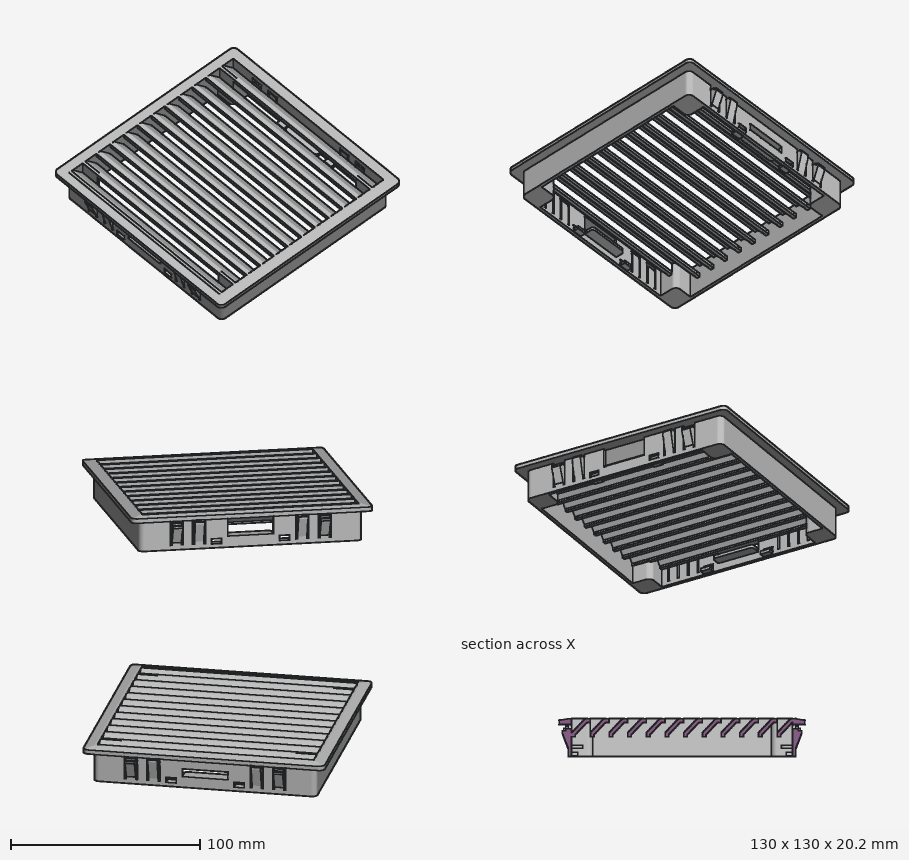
import cadquery as cq
import math

flange_size = 130.0
height = 20.2
flange_bottom = 16.9
flange_edge_top = 19.2
bevel_width = 5.2
corner_radius = 3.0
wall = 1.8
body_size = 120.1
body_half = body_size / 2
inner_half = body_half - wall

cell_count = 12
pitch = (body_size - wall) / cell_count
slat_angle = 46.5
slat_nose_height = 2.2
slat_nose_depth = wall
slat_bottom = 10.4
slat_foot_height = 1.2
slat_top_width = 2.7
slat_fillet = 2.3
slat_slope = math.tan(math.radians(slat_angle))
slat_web_end = height - slat_slope * (pitch - slat_top_width)

post_size = 11.2

window_width = 24.7
window_bottom = 6.1
shelf_depth = 5.8
shelf_radius = 2.0
small_slot_width = 5.6
small_slot_height = 2.7
small_slot_bottom = 2.2
small_slot_x = 18.3
small_shelf_depth = 3.2

clip_slot_width = 7.0
clip_slot_bottom = 2.6
clip_width = 5.1
clip_ramp_bottom = 3.9
clip_tip_height = 1.2
clip_neck = 1.4
outer_clip_x = 39.9
outer_clip_reach = 3.2
outer_clip_top = 14.8
inner_clip_x = 27.8
inner_clip_reach = 2.5
inner_clip_top = 16.2


def block(x, y, z):
    """Box spanning three (low, high) ranges."""
    size = [high - low for low, high in (x, y, z)]
    return cq.Workplane("XY").box(*size, centered=False).translate((x[0], y[0], z[0]))


def extrude_along_x(points, length):
    """Extrude a closed outline of (y, z) points, centred on x = 0."""
    return cq.Workplane("YZ").polyline(points).close().extrude(length / 2, both=True)


def make_flange():
    """Square flange whose top slopes up to a narrow flat rim."""
    plate = cq.Workplane("XY").workplane(offset=flange_bottom).rect(flange_size, flange_size)
    plate = plate.extrude(height - flange_bottom).edges("|Z").fillet(corner_radius)
    rim_size = flange_size - 2 * bevel_width
    slope_run = bevel_width * (height - flange_bottom) / (height - flange_edge_top)
    base_size = rim_size + 2 * slope_run
    roof = cq.Workplane("XY").workplane(offset=flange_bottom).rect(base_size, base_size)
    roof = roof.workplane(offset=height - flange_bottom).rect(rim_size, rim_size).loft(ruled=True)
    roof = roof.edges("(not |X) and (not |Y)").fillet(corner_radius)
    return plate.intersect(roof)


def make_frame():
    """Flange and square body around one open square passage."""
    body = cq.Workplane("XY").rect(body_size, body_size).extrude(flange_bottom)
    body = body.edges("|Z").fillet(corner_radius)
    passage = cq.Workplane("XY").rect(2 * inner_half, 2 * inner_half).extrude(height)
    return make_flange().union(body).cut(passage)


def make_slat():
    """One slat whose upright front lies at y = 0."""
    front_bottom = height - slat_nose_height
    foot_top = slat_bottom + slat_foot_height
    foot_front = slat_nose_depth + (front_bottom - foot_top) / slat_slope
    slat = extrude_along_x(
        [
            (0, front_bottom),
            (0, height),
            (slat_top_width, height),
            (pitch, slat_web_end),
            (pitch, slat_bottom),
            (foot_front, slat_bottom),
            (foot_front, foot_top),
            (slat_nose_depth, front_bottom),
        ],
        2 * inner_half,
    )
    top_rear_edge = cq.selectors.NearestToPointSelector((0, slat_top_width, height))
    return slat.edges(top_rear_edge).fillet(slat_fillet)


def make_space_above_slat():
    """Prism taking in the web of the slat at y = 0 and the air space above it."""
    points = [
        (slat_nose_depth, height),
        (slat_nose_depth, height - slat_nose_height),
        (pitch, slat_bottom),
        (pitch, height),
    ]
    return extrude_along_x(points, 2 * inner_half)


def make_post():
    """Solid post in the +X +Y corner of the passage."""
    low = inner_half - post_size
    post = block((low, inner_half), (low, inner_half), (0, height))
    return post.edges("|Z and <X and <Y").fillet(corner_radius)


def make_clip(x, reach, top):
    """Snap clip on the -Y wall: a ramp, an upright tip and a stepped-back neck."""
    neck_bottom = top - clip_tip_height
    points = [
        (-inner_half, clip_slot_bottom),
        (-body_half, clip_slot_bottom),
        (-body_half, clip_ramp_bottom),
        (-body_half - reach, neck_bottom - clip_tip_height),
        (-body_half - reach, neck_bottom),
        (-body_half - clip_neck, neck_bottom),
        (-body_half - clip_neck, top),
        (-inner_half, top),
    ]
    return extrude_along_x(points, clip_width).translate((x, 0, 0))


def make_wall_opening(x, width, bottom, top):
    """Cutter through the -Y wall."""
    return block((x - width / 2, x + width / 2), (-body_half, -inner_half), (bottom, top))


def make_shelf(x, width, depth, top):
    """Shelf behind an opening in the -Y wall, level with its sill."""
    return block((x - width / 2, x + width / 2), (-inner_half, depth - inner_half), (top - wall, top))


def make_wall_cutters(window_top):
    """All openings in the -Y wall."""
    cutters = make_wall_opening(0, window_width, window_bottom, window_top)
    small_slot_top = small_slot_bottom + small_slot_height
    for side in (-1, 1):
        cutters = cutters.union(
            make_wall_opening(side * small_slot_x, small_slot_width, small_slot_bottom, small_slot_top)
        )
        for x in (inner_clip_x, outer_clip_x):
            cutters = cutters.union(
                make_wall_opening(side * x, clip_slot_width, clip_slot_bottom, flange_bottom)
            )
    return cutters


def make_wall_additions():
    """Shelves and clips on the -Y wall."""
    shelf = make_shelf(0, window_width, shelf_depth, window_bottom)
    additions = shelf.edges("|Z and >Y").fillet(shelf_radius)
    for side in (-1, 1):
        x = side * small_slot_x
        additions = additions.union(make_shelf(x, small_slot_width, small_shelf_depth, small_slot_bottom))
        additions = additions.union(make_clip(side * inner_clip_x, inner_clip_reach, inner_clip_top))
        additions = additions.union(make_clip(side * outer_clip_x, outer_clip_reach, outer_clip_top))
    return additions


def in_four_corners(shape):
    """The shape and its mirror images in all four corners."""
    pair = shape.union(shape.mirror("YZ"))
    return pair.union(pair.mirror("XZ"))


result = make_frame()
result = result.cut(make_wall_cutters(flange_bottom))
result = result.cut(make_wall_cutters(slat_bottom).mirror("XZ"))
additions = make_wall_additions()
result = result.union(additions).union(additions.mirror("XZ"))

posts = in_four_corners(make_post())
space = make_space_above_slat()
slat = make_slat()
slat_fronts = [cell * pitch - body_half for cell in range(cell_count)]
for front in slat_fronts:
    posts = posts.cut(space.translate((0, front, 0)))
result = result.union(posts)
for front in slat_fronts:
    result = result.union(slat.translate((0, front, 0)))